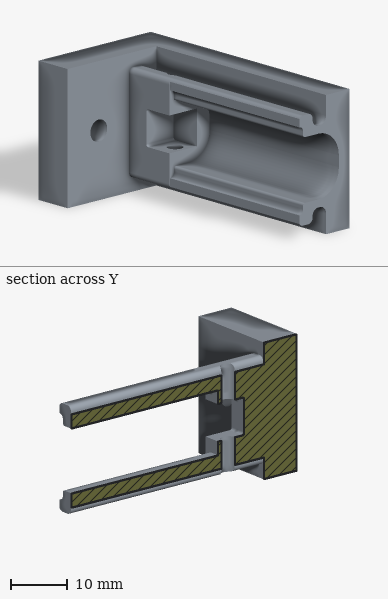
import cadquery as cq
import math

length = 51.0
depth = 27.25
height = 25.5
end_thickness = 7.5
back_thickness = 5.7

rail_front = -12.35
rail_half_height = 10.1
nose_radius = 1.0
neck_half_height = 7.5
neck_flat = 0.5
root_radius = 1.45
inner_fillet = 1.35
inner_round = 1.0

channel_start = 17.85
channel_half_width = 6.0
channel_floor = -2.6
channel_radius = 4.95
lip_radius = 0.45
ledge_y = -11.25
ledge_width = 0.65
step_radius = 0.9

recess_start = 11.95
recess_half_height = 3.45
recess_floor = -back_thickness
recess_corner_radius = 0.45

cross_hole_diameter = 3.0
cross_hole_x = 15.5
cross_hole_y = -8.75
end_hole_diameter = 4.1
end_hole_y = -19.7


def mid_quarter(start, end, along_y):
    """Return the middle of the quarter arc that leaves start along Y (or Z)."""
    dy = end[0] - start[0]
    dz = end[1] - start[1]
    far = math.sin(math.pi / 4)
    near = 1 - far
    if along_y:
        return (start[0] + dy * far, start[1] + dz * near)
    return (start[0] + dy * near, start[1] + dz * far)


def half_profile(start, steps):
    """Draw a closed YZ outline on the upper side of the plane of symmetry.

    Each step is a kind and an end point. The kinds "along_y" and "along_z"
    are quarter arcs that leave their start in that direction.
    """
    outline = cq.Workplane("YZ").moveTo(*start)
    for kind, end in steps:
        if kind == "line":
            outline = outline.lineTo(*end)
        else:
            outline = outline.threePointArc(mid_quarter(start, end, kind == "along_y"), end)
        start = end
    return outline.close()


def both_halves(upper):
    return upper.union(upper.mirror("XY"))


def make_bracket():
    back_plate = cq.Workplane("XY").box(length, back_thickness, height, centered=(False, False, True))
    end_plate = cq.Workplane("XY").box(end_thickness, depth, height, centered=(False, False, True))
    return back_plate.translate((0, -back_thickness, 0)).union(end_plate.translate((0, -depth, 0)))


def make_rail():
    plate_y = -back_thickness
    root_y = plate_y - root_radius
    fillet_y = root_y - neck_flat
    wall_y = fillet_y - inner_fillet
    nose_y = rail_front + nose_radius
    steps = [
        ("line", (plate_y, neck_half_height + root_radius)),
        ("along_z", (root_y, neck_half_height)),
        ("line", (fillet_y, neck_half_height)),
        ("along_y", (wall_y, neck_half_height + inner_fillet)),
        ("line", (wall_y, rail_half_height - inner_round)),
        ("along_z", (wall_y - inner_round, rail_half_height)),
        ("line", (nose_y, rail_half_height)),
        ("along_y", (rail_front, rail_half_height - nose_radius)),
        ("line", (rail_front, 0)),
    ]
    return both_halves(half_profile((plate_y, 0), steps).extrude(length))


def make_channel():
    mouth_y = -depth
    face_y = ledge_y - step_radius
    ledge_inner_z = channel_half_width + lip_radius
    ledge_outer_z = ledge_inner_z + ledge_width
    step_z = ledge_outer_z + step_radius
    steps = [
        ("line", (channel_floor, channel_half_width - channel_radius)),
        ("along_z", (channel_floor - channel_radius, channel_half_width)),
        ("line", (ledge_y + lip_radius, channel_half_width)),
        ("along_y", (ledge_y, ledge_inner_z)),
        ("line", (ledge_y, ledge_outer_z)),
        ("along_z", (face_y, step_z)),
        ("line", (face_y, height / 2)),
        ("line", (mouth_y, height / 2)),
        ("line", (mouth_y, 0)),
    ]
    upper = half_profile((channel_floor, 0), steps).extrude(length - channel_start)
    return both_halves(upper).translate((channel_start, 0, 0))


def make_recess():
    recess_length = channel_start - recess_start
    recess = cq.Workplane("XY").box(
        recess_length, recess_floor - rail_front, 2 * recess_half_height, centered=(False, False, True)
    )
    recess = recess.edges("|Y and <X").fillet(recess_corner_radius)
    return recess.translate((recess_start, rail_front, 0))


def make_cross_hole():
    hole = cq.Workplane("XY").circle(cross_hole_diameter / 2).extrude(height / 2, both=True)
    return hole.translate((cross_hole_x, cross_hole_y, 0))


def make_end_hole():
    return cq.Workplane("YZ").center(end_hole_y, 0).circle(end_hole_diameter / 2).extrude(end_thickness)


result = make_bracket().union(make_rail())
for cutter in (make_channel(), make_recess(), make_cross_hole(), make_end_hole()):
    result = result.cut(cutter)